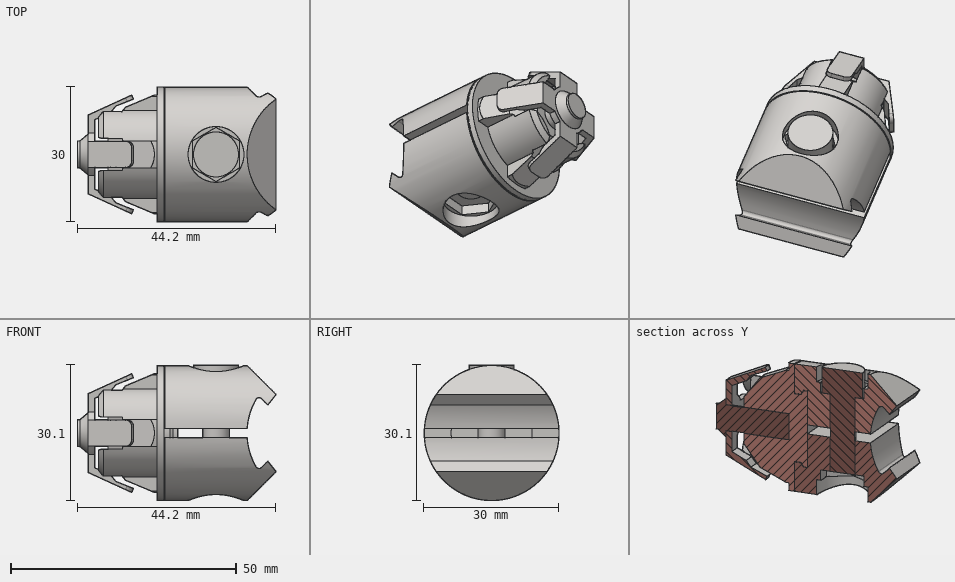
import cadquery as cq
import math


flange_radius = 15.0
flange_thickness = 1.5
core_radius = 10.2
core_front = -13.0
core_chamfer = 1.1
pillar_base = -10.9
pillar_lobe_radius = 7.0
pillar_lobe_offset = 14.74

arm_angles = (0, 90, 180, 270)
slot_width = 7.1
rib_width = 6.0
rib_radius = 13.2
ramp_start_radius = 5.54
ramp_end = -7.0
ramp_end_radius = 10.5
rib_slope = math.radians(22.8)
rib_root_radius = 8.0

neck_radius = 8.0
neck_end = 2.9
snap_radius = 9.0
snap_cone_end = 3.6
snap_end = 4.65

clip_front = -15.3
clip_thickness = 1.5
clip_hub_radius = 5.55
arm_width = 5.8
arm_bend_radius = 8.77
arm_slope = math.radians(24.6)
arm_length = 10.65
arm_root_thickness = 1.6
arm_tip_thickness = 1.0
arm_step_start_x = -10.3
arm_step_end = (-9.15, 10.7)
arm_tip_round = 1.5

rivet_tip = -17.7
rivet_tip_length = 0.55
rivet_tip_radius = 3.0
rivet_cone_radius = 4.55
rivet_shank_radius = 3.0

jaw_radius = flange_radius
jaw_chamfer = 0.25
jaw_end = 26.45
jaw_gap = 2.0
bevel_start = 20.0
pipe_radius = 15.0
pipe_axis = bevel_start + pipe_radius
lip_tip = (24.6, 6.23)
lip_root_round = 0.8

screw_x = 13.1
screw_top = 15.1
screw_head_radius = 5.0
screw_head_height = 6.0
screw_shank_radius = 3.0
counterbore_radius = 6.2
counterbore_floor = 11.5
hex_across_flats = 10.42
hex_corner_radius = hex_across_flats / math.sqrt(3)

head_seat = screw_top - screw_head_height
bore_reach = 2 * jaw_radius


def axial_cylinder(radius, start, end):
    return cq.Workplane("YZ").workplane(offset=start).circle(radius).extrude(end - start)


def revolve_profile(points):
    """Revolve (x, radius) points about the X axis."""
    return cq.Workplane("XY").polyline(points).close().revolve(360, (0, 0, 0), (1, 0, 0))


def strip(points, width):
    """Extrude (x, z) points by a width centred on the XZ plane."""
    return cq.Workplane("XZ").polyline(points).close().extrude(width / 2, both=True)


def turned(body, angle):
    return body.rotate((0, 0, 0), (1, 0, 0), angle)


def spigot(start):
    return revolve_profile([
        (start, 0),
        (start, neck_radius),
        (neck_end, neck_radius),
        (snap_cone_end, snap_radius),
        (snap_end, snap_radius),
        (snap_end, 0),
    ])


def core():
    body = axial_cylinder(core_radius, core_front, 0).faces("<X").chamfer(core_chamfer)
    recess = axial_cylinder(core_radius + core_chamfer, core_front, pillar_base)
    lobes = (
        cq.Workplane("YZ").workplane(offset=core_front)
        .polarArray(pillar_lobe_offset, 45, 360, 4)
        .circle(pillar_lobe_radius)
        .extrude(pillar_base - core_front)
    )
    return body.cut(recess.cut(lobes))


def arm_slot():
    return strip([
        (core_front, 0),
        (pillar_base, 0),
        (pillar_base, ramp_start_radius),
        (ramp_end, ramp_end_radius),
        (core_front, ramp_end_radius),
    ], slot_width)


def rib():
    slope_run = -ramp_end
    root_fraction = (rib_root_radius - ramp_start_radius) / (ramp_end_radius - ramp_start_radius)
    root_x = pillar_base + root_fraction * (ramp_end - pillar_base)
    wedge = strip([
        (root_x, rib_root_radius),
        (ramp_end, ramp_end_radius),
        (0, ramp_end_radius + slope_run * math.tan(rib_slope)),
        (0, rib_root_radius),
    ], rib_width)
    return wedge.intersect(axial_cylinder(rib_radius, root_x, 0))


def make_base():
    body = core()
    for angle in arm_angles:
        body = body.cut(turned(arm_slot(), angle))
    for angle in arm_angles:
        body = body.union(turned(rib(), angle))
    body = body.union(axial_cylinder(flange_radius, 0, flange_thickness))
    body = body.union(spigot(flange_thickness))
    return body.cut(axial_cylinder(rivet_shank_radius, core_front, 0))


def clip_arm():
    clip_back = clip_front + clip_thickness
    tip = (
        clip_front + arm_length * math.cos(arm_slope),
        arm_bend_radius + arm_length * math.sin(arm_slope),
    )
    tip_inner = (
        tip[0] + arm_tip_thickness * math.sin(arm_slope),
        tip[1] - arm_tip_thickness * math.cos(arm_slope),
    )
    bend_inner_radius = (
        arm_bend_radius + clip_thickness * math.tan(arm_slope) - arm_root_thickness / math.cos(arm_slope)
    )
    step_root = (
        arm_step_start_x,
        bend_inner_radius + (arm_step_start_x - clip_back) * math.tan(arm_slope),
    )
    arm = strip([
        (clip_front, 0),
        (clip_front, arm_bend_radius),
        tip,
        tip_inner,
        arm_step_end,
        step_root,
        (clip_back, bend_inner_radius),
        (clip_back, 0),
    ], arm_width)
    tip_middle = ((tip[0] + tip_inner[0]) / 2, 0, (tip[1] + tip_inner[1]) / 2)
    tip_face = arm.faces(cq.selectors.NearestToPointSelector(tip_middle))
    return tip_face.edges("not |Y").fillet(arm_tip_round)


def make_clip():
    clip_back = clip_front + clip_thickness
    body = axial_cylinder(clip_hub_radius, clip_front, clip_back)
    for angle in arm_angles:
        body = body.union(turned(clip_arm(), angle))
    return body.cut(axial_cylinder(rivet_shank_radius, clip_front, clip_back))


def make_rivet():
    return revolve_profile([
        (rivet_tip, 0),
        (rivet_tip, rivet_tip_radius),
        (rivet_tip + rivet_tip_length, rivet_tip_radius),
        (clip_front, rivet_cone_radius),
        (clip_front, rivet_shank_radius),
        (0, rivet_shank_radius),
        (0, 0),
    ])


def jaw_outline():
    """Side profile of the upper jaw: bevelled nose and pipe saddle with a gripping lip."""
    gap_half = jaw_gap / 2
    saddle_x = pipe_axis - math.sqrt(pipe_radius**2 - gap_half**2)
    lip_offset = pipe_axis - lip_tip[0] - lip_tip[1]
    run = (lip_offset + math.sqrt(2 * pipe_radius**2 - lip_offset**2)) / 2
    lip_root = (pipe_axis - run, run - lip_offset)
    middle_angle = (math.asin(gap_half / pipe_radius) + math.asin(lip_root[1] / pipe_radius)) / 2
    saddle_middle = (
        pipe_axis - pipe_radius * math.cos(middle_angle),
        pipe_radius * math.sin(middle_angle),
    )
    body = (
        cq.Workplane("XZ")
        .moveTo(flange_thickness, gap_half)
        .lineTo(flange_thickness, jaw_radius)
        .lineTo(bevel_start, jaw_radius)
        .lineTo(jaw_end, jaw_radius - (jaw_end - bevel_start))
        .lineTo(*lip_tip)
        .lineTo(*lip_root)
        .threePointArc(saddle_middle, (saddle_x, gap_half))
        .close()
        .extrude(jaw_radius, both=True)
    )
    root_edge = cq.selectors.NearestToPointSelector((lip_root[0], 0, lip_root[1]))
    return body.edges(root_edge).fillet(lip_root_round)


def screw_bore():
    """Shank hole, hexagonal pocket with corners toward +Y and -Y, and round counterbore."""
    level = cq.Workplane("XY").center(screw_x, 0)
    shank = level.circle(screw_shank_radius).extrude(bore_reach)
    hex_corners = [
        (hex_corner_radius * math.sin(math.radians(angle)), hex_corner_radius * math.cos(math.radians(angle)))
        for angle in range(0, 360, 60)
    ]
    hexagon = level.workplane(offset=head_seat).polyline(hex_corners).close().extrude(bore_reach)
    counterbore = level.workplane(offset=counterbore_floor).circle(counterbore_radius).extrude(bore_reach)
    return shank.union(hexagon).union(counterbore)


def make_upper_jaw():
    barrel = axial_cylinder(jaw_radius, flange_thickness, jaw_end).faces("<X").chamfer(jaw_chamfer)
    return barrel.intersect(jaw_outline()).cut(spigot(flange_thickness)).cut(screw_bore())


def make_screw():
    level = cq.Workplane("XY").center(screw_x, 0)
    head = level.workplane(offset=head_seat).circle(screw_head_radius).extrude(screw_head_height)
    shank = level.workplane(offset=-head_seat).circle(screw_shank_radius).extrude(2 * head_seat)
    return head.union(shank)


base = make_base()
clip = make_clip()
rivet = make_rivet()
jaws = [turned(make_upper_jaw(), angle) for angle in (0, 180)]
screw = make_screw()

result = cq.Compound.makeCompound([
    base.val(),
    clip.val(),
    rivet.val(),
    *[jaw.val() for jaw in jaws],
    screw.val(),
])